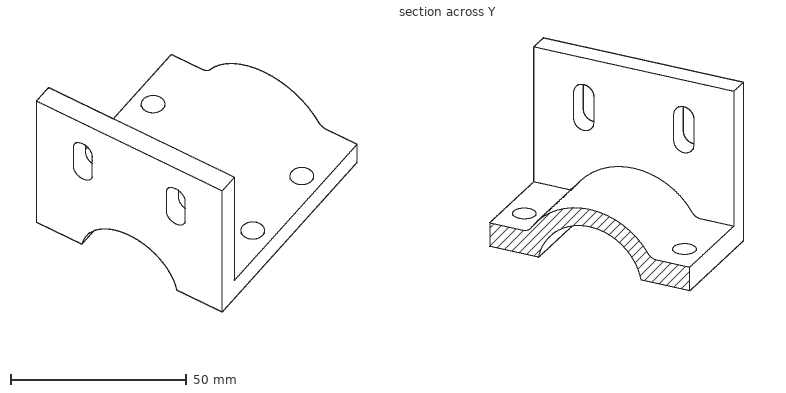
import cadquery as cq

WIDTH = 63.5
LENGTH = 69.85
HEIGHT = 50.8

PLATE_THICKNESS = 6.35
FLANGE_THICKNESS = 7.62

AXIS_DROP = 3.175
BORE_RADIUS = 16.51
SADDLE_TOP = 19.05
SADDLE_RADIUS = SADDLE_TOP + AXIS_DROP
FILLET_RADIUS = 3.175
EDGE_SEARCH_MARGIN = 1.0

HOLE_DIAMETER = 6.76
HOLE_SPACING_X = 50.8
HOLE_SPACING_Y = 25.4
BASE_CENTER_Y = (PLATE_THICKNESS + LENGTH) / 2

SLOT_WIDTH = 6.4
SLOT_LENGTH = 14.65
SLOT_SPACING = 31.75
SLOT_CENTER_Z = 34.925


def xz_plane(y=0):
    """XZ sketch plane at the given y, facing -Y; negative extrusion runs toward +Y."""
    return cq.Workplane(cq.Plane(origin=(0, y, 0), xDir=(1, 0, 0), normal=(0, -1, 0)))


def make_base():
    """Flat flanges with the raised cylindrical saddle blended in by fillets."""
    base_length = LENGTH - PLATE_THICKNESS
    flanges = xz_plane(PLATE_THICKNESS).rect(WIDTH, 2 * FLANGE_THICKNESS).extrude(-base_length)
    saddle = xz_plane(PLATE_THICKNESS).center(0, -AXIS_DROP).circle(SADDLE_RADIUS).extrude(-base_length)
    corner_zone = cq.selectors.BoxSelector(
        (-WIDTH / 2 + EDGE_SEARCH_MARGIN, 0, FLANGE_THICKNESS - EDGE_SEARCH_MARGIN),
        (WIDTH / 2 - EDGE_SEARCH_MARGIN, LENGTH, FLANGE_THICKNESS + EDGE_SEARCH_MARGIN),
    )
    base = flanges.union(saddle).edges("|Y").edges(corner_zone).fillet(FILLET_RADIUS)
    above_underside = cq.Workplane("XY").box(WIDTH, LENGTH, HEIGHT, centered=(True, False, False))
    return base.intersect(above_underside)


def make_plate():
    """Upright plate across the front end of the base."""
    return cq.Workplane("XY").box(WIDTH, PLATE_THICKNESS, HEIGHT, centered=(True, False, False))


def make_bore():
    """Cylinder that hollows the saddle and opens through the plate."""
    return xz_plane().center(0, -AXIS_DROP).circle(BORE_RADIUS).extrude(-LENGTH)


def make_mounting_holes():
    """Four vertical holes, centred along the base behind the plate."""
    return (
        cq.Workplane("XY")
        .center(0, BASE_CENTER_Y)
        .rarray(HOLE_SPACING_X, HOLE_SPACING_Y, 2, 2)
        .circle(HOLE_DIAMETER / 2)
        .extrude(FLANGE_THICKNESS)
    )


def make_slots():
    """Pair of upright round-ended slots."""
    return (
        xz_plane()
        .pushPoints([(side * SLOT_SPACING / 2, SLOT_CENTER_Z) for side in (-1, 1)])
        .slot2D(SLOT_LENGTH, SLOT_WIDTH, 90)
        .extrude(-PLATE_THICKNESS)
    )


bracket = make_base().union(make_plate())
result = bracket.cut(make_bore()).cut(make_mounting_holes()).cut(make_slots())